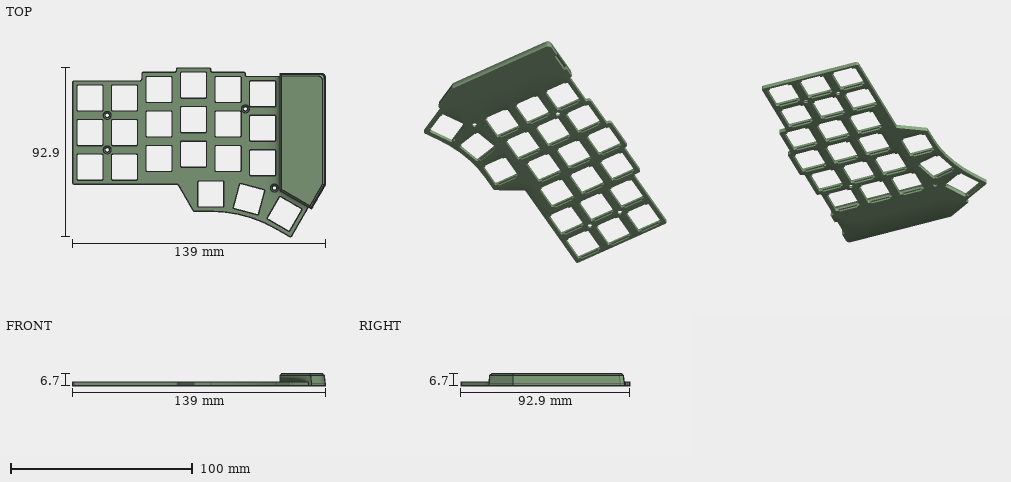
import cadquery as cq
import math


pitch = 19.0
half_pitch = pitch / 2
stagger_step = pitch / 8
column_drops = [3 * stagger_step, 3 * stagger_step, stagger_step, 0.0, stagger_step, 2 * stagger_step]
row_count = 3
cutout_size = 14.2
cutout_corner_radius = 0.5

clip_rim_thickness = 1.3
clip_undercut_depth = 1.0
clip_undercut_length = 10.8

thumb_x = 4 * pitch
thumb_y = -69.45
thumb_arc_radius = 81.1
thumb_step_angle = 15.0
thumb_count = 3
thumb_side_angle = 60.0

plate_thickness = 2.25
plate_corner_radius = 1.0

screw_diameter = 2.4
screw_head_diameter = 4.4
screw_bevel_angle = 90.0
rear_screw_column = 5
thumb_screw = (111.0, -66.1)

housing_width = 25.0
housing_height = 6.7
housing_skirt_height = 1.25
housing_chamfer = 1.0
housing_draft = 0.6
housing_corner_radius = 2.2
housing_left = len(column_drops) * pitch
housing_right = housing_left + housing_width
housing_rear = -3.0
housing_overhang = 2.0
housing_thumb_setback = 0.3

usb_width = 10.8
usb_height = 3.0
usb_depth = 1.5
usb_center_x = 125.4

plate_left = 0.0
plate_front = -column_drops[0] - row_count * pitch
thumb_front = thumb_y - half_pitch
thumb_arc_center_y = thumb_y - thumb_arc_radius
last_thumb_turn = (thumb_count - 1) * thumb_step_angle


def thumb_arc_point(turn, radius):
    """Point at a clockwise turn from the rear of the thumb arc."""
    angle = math.radians(turn)
    return (thumb_x + radius * math.sin(angle), thumb_arc_center_y + radius * math.cos(angle))


def last_thumb_point(along, outward):
    """Point in the axes of the last thumb key: along its row, and away from the arc centre."""
    center = thumb_arc_point(last_thumb_turn, thumb_arc_radius)
    angle = math.radians(last_thumb_turn)
    return (
        center[0] + along * math.cos(angle) + outward * math.sin(angle),
        center[1] - along * math.sin(angle) + outward * math.cos(angle),
    )


def stepped_rear_edge():
    """Rear edge from left to right, following the column stagger."""
    points = [(plate_left, -column_drops[0])]
    for column in range(1, len(column_drops)):
        if column_drops[column] != column_drops[column - 1]:
            points.append((column * pitch, -column_drops[column - 1]))
            points.append((column * pitch, -column_drops[column]))
    return points


def make_plate():
    """Flat plate with rounded corners, before any openings are cut."""
    edge_radius = thumb_arc_radius - half_pitch
    arc_start = (thumb_x, thumb_front)
    arc_middle = thumb_arc_point(last_thumb_turn / 2, edge_radius)
    arc_end = thumb_arc_point(last_thumb_turn, edge_radius)
    thumb_left = thumb_x - half_pitch
    side_run = (plate_front - thumb_front) / math.tan(math.radians(thumb_side_angle))
    hidden_corner = last_thumb_point(half_pitch, pitch)
    plate = (
        cq.Workplane("XY")
        .polyline(stepped_rear_edge())
        .lineTo(hidden_corner[0], -column_drops[-1])
        .lineTo(*hidden_corner)
        .lineTo(*last_thumb_point(half_pitch, -half_pitch))
        .lineTo(*arc_end)
        .threePointArc(arc_middle, arc_start)
        .lineTo(thumb_left, thumb_front)
        .lineTo(thumb_left - side_run, plate_front)
        .lineTo(plate_left, plate_front)
        .close()
        .extrude(plate_thickness)
    )
    upright_edges = cq.selectors.ParallelDirSelector(cq.Vector(0, 0, 1))
    margin = plate_corner_radius
    arc_ends = cq.selectors.BoxSelector(
        (arc_start[0] - margin, arc_end[1] - margin, 0),
        (arc_end[0] + margin, arc_start[1] + margin, plate_thickness),
    )
    return plate.edges(upright_edges - arc_ends).fillet(plate_corner_radius)


def housing_bend():
    """Front left corner of the housing, just behind the last thumb key."""
    thumb_rear = last_thumb_point(0, half_pitch + housing_thumb_setback)
    slope = math.tan(math.radians(last_thumb_turn))
    return (housing_left, thumb_rear[1] + (thumb_rear[0] - housing_left) * slope)


def housing_profile(height, outer_inset, inner_inset):
    """Closed housing outline; the insets move the three outer and the two inner sides inward."""
    left = housing_left + inner_inset
    right = housing_right - outer_inset
    rear = housing_rear - outer_inset
    radius = housing_corner_radius
    arc_offset = radius * (1 - math.sqrt(0.5))
    turn = math.radians(last_thumb_turn)
    bend_y = housing_bend()[1] + inner_inset / math.cos(turn) - inner_inset * math.tan(turn)
    tip = last_thumb_point(
        half_pitch + housing_overhang - outer_inset,
        half_pitch + housing_thumb_setback + inner_inset,
    )
    shoulder_y = tip[1] + (right - tip[0]) / math.tan(turn)
    outline = (
        cq.Workplane("XY", origin=(0, 0, height))
        .moveTo(left, rear)
        .lineTo(right - radius, rear)
        .threePointArc((right - arc_offset, rear - arc_offset), (right, rear - radius))
        .lineTo(right, shoulder_y)
        .lineTo(*tip)
        .lineTo(left, bend_y)
        .close()
    )
    return outline.val()


def make_housing():
    """Upright skirt, drafted outer walls and a chamfered top edge."""
    chamfer_start = housing_height - housing_chamfer
    skirt = housing_profile(0, 0, 0)
    draft_start = housing_profile(housing_skirt_height, 0, 0)
    draft_end = housing_profile(chamfer_start, housing_draft, 0)
    top = housing_profile(housing_height, housing_draft + housing_chamfer, housing_chamfer)
    solid = cq.Solid.makeLoft([skirt, draft_start, draft_end, top], True)
    return cq.Workplane("XY").add(solid)


def make_usb_opening():
    """Shallow notch that rises from the underside of the rear wall."""
    opening = cq.Workplane("XY").box(usb_width, usb_depth, usb_height, centered=(True, False, False))
    return opening.translate((usb_center_x, housing_rear - usb_depth, 0))


def make_switch_cutout(x, y, turn):
    """Square switch opening with its two clip undercuts, turned clockwise."""
    cutout = cq.Workplane("XY").rect(cutout_size, cutout_size).extrude(plate_thickness)
    cutout = cutout.edges("|Z").fillet(cutout_corner_radius)
    undercuts = (
        cq.Workplane("XY")
        .rect(cutout_size + 2 * clip_undercut_depth, clip_undercut_length)
        .extrude(plate_thickness - clip_rim_thickness)
    )
    return cutout.union(undercuts).rotate((0, 0, 0), (0, 0, 1), -turn).translate((x, y, 0))


def key_positions():
    """Centre and clockwise turn of every key."""
    keys = []
    for column, drop in enumerate(column_drops):
        for row in range(row_count):
            keys.append(((column + 0.5) * pitch, -drop - (row + 0.5) * pitch, 0.0))
    for index in range(thumb_count):
        turn = index * thumb_step_angle
        x, y = thumb_arc_point(turn, thumb_arc_radius)
        keys.append((x, y, turn))
    return keys


def screw_positions():
    """Centres of the screw holes; all but the thumb screw sit where four cutouts meet."""
    left_screws = [(pitch, -column_drops[0] - row * pitch) for row in (1, 2)]
    rear_screw_y = -(column_drops[rear_screw_column - 1] + column_drops[rear_screw_column]) / 2 - pitch
    return left_screws + [(rear_screw_column * pitch, rear_screw_y), thumb_screw]


def make_screw_hole(x, y):
    """Through hole with a countersink that opens on the upper face of the plate."""
    sink_depth = (screw_head_diameter - screw_diameter) / 2 / math.tan(math.radians(screw_bevel_angle / 2))
    hole = cq.Solid.makeCylinder(screw_diameter / 2, plate_thickness)
    sink = cq.Solid.makeCone(
        screw_diameter / 2,
        screw_head_diameter / 2,
        sink_depth,
        pnt=cq.Vector(0, 0, plate_thickness - sink_depth),
    )
    return cq.Workplane("XY").add(hole.fuse(sink)).translate((x, y, 0))


result = make_plate().union(make_housing()).cut(make_usb_opening())
for x, y, turn in key_positions():
    result = result.cut(make_switch_cutout(x, y, turn))
for x, y in screw_positions():
    result = result.cut(make_screw_hole(x, y))